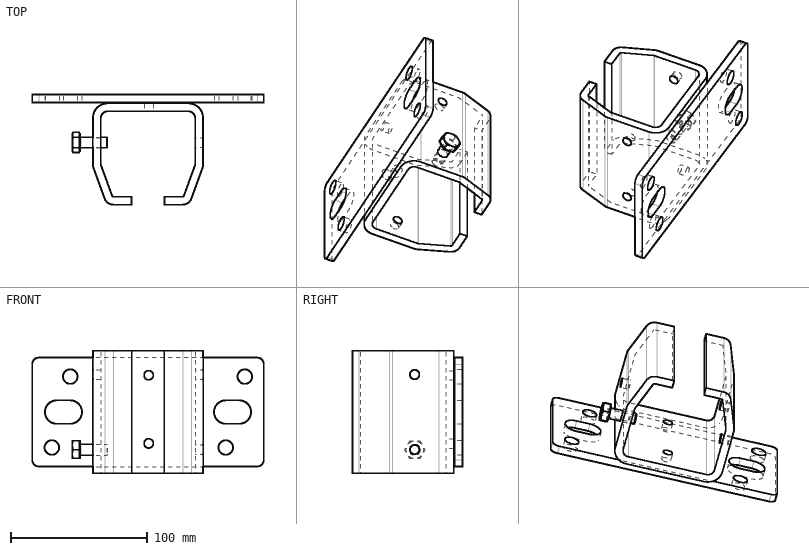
import cadquery as cq
import math


plate_length = 170.0
plate_height = 80.0
plate_thickness = 6.0
plate_gap = 0.5
plate_corner_radius = 5.0
bolt_hole_diameter = 10.5
bolt_hole_height = 26.0
plate_hole_points = [
    (-57.0, bolt_hole_height),
    (71.0, bolt_hole_height),
    (-70.5, -bolt_hole_height),
    (57.0, -bolt_hole_height),
]
slot_length = 27.0
slot_width = 17.0
slot_offset = 62.0

channel_width = 81.0
channel_depth = 74.5
channel_height = 90.0
wall = 6.0
back_inner_radius = 5.0
back_outer_radius = back_inner_radius + wall
bend_inner_radius = 1.0
bend_outer_radius = bend_inner_radius + wall
taper_angle = math.radians(20.0)
straight_side_depth = 45.0
mouth_width = 24.0

screw_hole_diameter = 6.8
back_hole_x = 0.5
back_hole_heights = (27.0, -23.0)
side_hole_height = 27.5
side_hole_y = -28.8

bolt_diameter = 8.0
bolt_length = 20.0
bolt_tip_chamfer = 0.6
bolt_reach = 10.7
head_across_flats = 13.0
head_height = 5.7
head_chamfer_angle = math.radians(30.0)
washer_face_diameter = 12.8
washer_face_thickness = 0.5
neck_fillet = 0.4

half_width = channel_width / 2


def build_plate():
    face = cq.Workplane("XZ", origin=(0, plate_gap, 0))
    plate = (
        face.rect(plate_length, plate_height)
        .extrude(-plate_thickness)
        .edges("|Y")
        .fillet(plate_corner_radius)
    )
    holes = (
        face.pushPoints(plate_hole_points)
        .circle(bolt_hole_diameter / 2)
        .extrude(-plate_thickness)
    )
    slots = (
        face.pushPoints([(-slot_offset, 0), (slot_offset, 0)])
        .slot2D(slot_length, slot_width)
        .extrude(-plate_thickness)
    )
    return plate.cut(holes).cut(slots)


def arc_point(centre, radius, angle):
    """Point on an arc; the angle runs from +X towards -Y."""
    x, y = centre
    return (x + radius * math.cos(angle), y - radius * math.sin(angle))


def half_channel():
    """The +X half of the channel, from the middle of the back to the mouth."""
    back_centre = (half_width - back_outer_radius, -back_outer_radius)
    taper_centre = (half_width - bend_outer_radius, -straight_side_depth)
    lip_y = bend_outer_radius - channel_depth
    taper_run = taper_centre[1] - lip_y
    lip_centre = (taper_centre[0] - taper_run * math.tan(taper_angle), lip_y)
    square = math.pi / 2
    bends = [
        (back_centre, back_outer_radius, back_inner_radius, -square, 0.0),
        (taper_centre, bend_outer_radius, bend_inner_radius, 0.0, taper_angle),
        (lip_centre, bend_outer_radius, bend_inner_radius, taper_angle, square),
    ]

    outline = cq.Workplane("XY").workplane(offset=-channel_height / 2).moveTo(0, 0)
    for centre, outer, _, start, end in bends:
        outline = outline.lineTo(*arc_point(centre, outer, start)).threePointArc(
            arc_point(centre, outer, (start + end) / 2), arc_point(centre, outer, end)
        )
    outline = outline.lineTo(mouth_width / 2, -channel_depth)
    outline = outline.lineTo(mouth_width / 2, wall - channel_depth)
    for centre, _, inner, start, end in reversed(bends):
        outline = outline.lineTo(*arc_point(centre, inner, end)).threePointArc(
            arc_point(centre, inner, (start + end) / 2), arc_point(centre, inner, start)
        )
    return outline.lineTo(0, -wall).close().extrude(channel_height)


def build_channel(bolt):
    half = half_channel()
    channel = half.union(half.mirror("YZ"))
    back_holes = (
        cq.Workplane("XZ")
        .pushPoints([(back_hole_x, height) for height in back_hole_heights])
        .circle(screw_hole_diameter / 2)
        .extrude(wall)
    )
    side_holes = (
        cq.Workplane("YZ")
        .pushPoints([(side_hole_y, side_hole_height), (side_hole_y, -side_hole_height)])
        .circle(screw_hole_diameter / 2)
        .extrude(half_width, both=True)
    )
    return channel.cut(back_holes).cut(side_holes).cut(bolt)


def build_bolt():
    tip_x = bolt_reach - half_width
    seat_x = tip_x - bolt_length
    head_x = seat_x - head_height
    washer_x = seat_x - washer_face_thickness
    flat_radius = head_across_flats / 2
    corner_radius = flat_radius / math.cos(math.pi / 6)
    shank_radius = bolt_diameter / 2
    chamfer_depth = (corner_radius - flat_radius) * math.tan(head_chamfer_angle)

    axis = cq.Workplane("XZ", origin=(0, side_hole_y, -side_hole_height))

    def turned(half_section):
        return half_section.close().revolve(360, (0, 0, 0), (1, 0, 0))

    head_envelope = turned(
        axis.moveTo(head_x, 0)
        .lineTo(head_x, flat_radius)
        .lineTo(head_x + chamfer_depth, corner_radius)
        .lineTo(washer_x, corner_radius)
        .lineTo(washer_x, washer_face_diameter / 2)
        .lineTo(seat_x, washer_face_diameter / 2)
        .lineTo(seat_x, 0)
    )
    head = (
        cq.Workplane("YZ", origin=(head_x, side_hole_y, -side_hole_height))
        .polygon(6, 2 * corner_radius)
        .extrude(head_height)
        .intersect(head_envelope)
    )
    shank = turned(
        axis.moveTo(seat_x, 0)
        .lineTo(seat_x, shank_radius + neck_fillet)
        .radiusArc((seat_x + neck_fillet, shank_radius), -neck_fillet)
        .lineTo(tip_x - bolt_tip_chamfer, shank_radius)
        .lineTo(tip_x, shank_radius - bolt_tip_chamfer)
        .lineTo(tip_x, 0)
    )
    return head.union(shank)


plate = build_plate()
bolt = build_bolt()
channel = build_channel(bolt)

result = cq.Compound.makeCompound([plate.val(), channel.val(), bolt.val()])